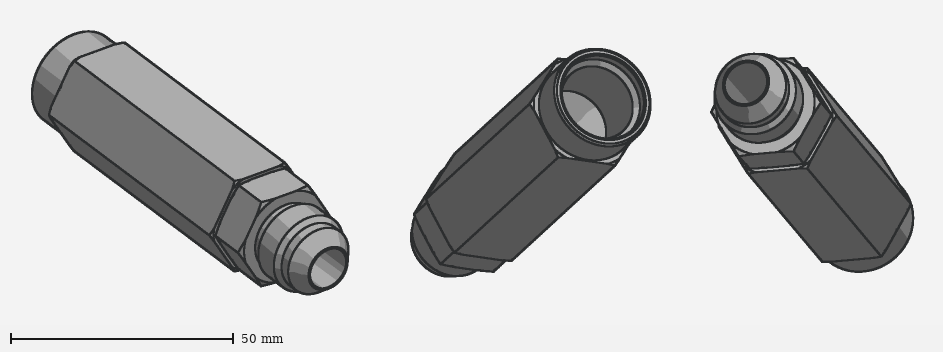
import cadquery as cq
import math

LENGTH = 100.1
X_START = -LENGTH / 2
X_END = LENGTH / 2

HOUSING_FLATS = 23.8
COLLAR_DIAMETER = 23.3
COLLAR_LENGTH = 9.7
COLLAR_CHAMFER = 0.5
HOUSING_LENGTH = 73.7
HOUSING_END_DIAMETER = 25.8
HOUSING_CHAMFER_ANGLE = 30.0

PORT_MOUTH_DIAMETER = 20.6
SEAT_DIAMETER = 19.8
PORT_BORE_DIAMETER = 17.3
SEAT_START_DEPTH = 0.2
SEAT_END_DEPTH = 2.6
BORE_START_DEPTH = 3.8
BORE_DEPTH = 20.0
DRILL_POINT_ANGLE = 118.0

FITTING_FLATS = 22.1
FITTING_HEX_LENGTH = 9.8
FITTING_END_DIAMETER = 22.8
FITTING_CHAMFER_ANGLE = 20.0
FITTING_BORE_DIAMETER = 9.9
NECK_DIAMETER = 16.8
NECK_LENGTH = 2.4
RELIEF_DIAMETER = 18.0
RELIEF_LENGTH = 0.4
THREAD_DIAMETER = 19.0
THREAD_LENGTH = 6.1
PILOT_DIAMETER = 16.5
THREAD_CHAMFER = (THREAD_DIAMETER - PILOT_DIAMETER) / 2
NOSE_TIP_DIAMETER = 10.7
NOSE_HALF_ANGLE = 37.0


def turned(profile):
    """Revolve a closed outline of (x, radius) points about the X axis."""
    return cq.Workplane("XY").polyline(profile).close().revolve(360, (0, 0, 0), (1, 0, 0))


def hexagonal_bar(flats, x_min, x_max, end_diameter, chamfer_angle):
    """Hexagonal bar along X with flats facing +Z and -Z and its corners chamfered at both ends."""
    corners = flats / math.cos(math.radians(30))
    bar = (
        cq.Workplane("YZ", origin=(x_min, 0, 0))
        .polygon(6, corners)
        .extrude(x_max - x_min)
    )
    end_radius = end_diameter / 2
    corner_radius = corners / 2
    chamfer = (corner_radius - end_radius) * math.tan(math.radians(chamfer_angle))
    envelope = turned([
        (x_min, 0),
        (x_min, end_radius),
        (x_min + chamfer, corner_radius),
        (x_max - chamfer, corner_radius),
        (x_max, end_radius),
        (x_max, 0),
    ])
    return bar.intersect(envelope)


def port():
    """Stepped port with a tapered seat and a drill point at its bottom."""
    bore_radius = PORT_BORE_DIAMETER / 2
    point_depth = bore_radius / math.tan(math.radians(DRILL_POINT_ANGLE / 2))
    return turned([
        (X_START, 0),
        (X_START, PORT_MOUTH_DIAMETER / 2),
        (X_START + SEAT_START_DEPTH, SEAT_DIAMETER / 2),
        (X_START + SEAT_END_DEPTH, SEAT_DIAMETER / 2),
        (X_START + BORE_START_DEPTH, bore_radius),
        (X_START + BORE_DEPTH, bore_radius),
        (X_START + BORE_DEPTH + point_depth, 0),
    ])


def make_housing():
    """Hexagonal housing with a round collar and the port."""
    shoulder = X_START + COLLAR_LENGTH
    hexagon = hexagonal_bar(
        HOUSING_FLATS,
        shoulder,
        X_START + HOUSING_LENGTH,
        HOUSING_END_DIAMETER,
        HOUSING_CHAMFER_ANGLE,
    )
    collar_radius = COLLAR_DIAMETER / 2
    collar = turned([
        (X_START, 0),
        (X_START, collar_radius - COLLAR_CHAMFER),
        (X_START + COLLAR_CHAMFER, collar_radius),
        (shoulder, collar_radius),
        (shoulder, 0),
    ])
    return hexagon.union(collar).cut(port())


def make_fitting():
    """Hexagonal end fitting with a plain male thread, a conical nose and a through bore."""
    hex_start = X_START + HOUSING_LENGTH
    hex_end = hex_start + FITTING_HEX_LENGTH
    relief_start = hex_end + NECK_LENGTH
    thread_start = relief_start + RELIEF_LENGTH
    thread_end = thread_start + THREAD_LENGTH
    nose_length = (PILOT_DIAMETER - NOSE_TIP_DIAMETER) / 2 / math.tan(math.radians(NOSE_HALF_ANGLE))
    hexagon = hexagonal_bar(
        FITTING_FLATS,
        hex_start,
        hex_end,
        FITTING_END_DIAMETER,
        FITTING_CHAMFER_ANGLE,
    )
    spigot = turned([
        (hex_end, 0),
        (hex_end, NECK_DIAMETER / 2),
        (relief_start, NECK_DIAMETER / 2),
        (thread_start, RELIEF_DIAMETER / 2),
        (thread_start, THREAD_DIAMETER / 2),
        (thread_end, THREAD_DIAMETER / 2),
        (thread_end + THREAD_CHAMFER, PILOT_DIAMETER / 2),
        (X_END - nose_length, PILOT_DIAMETER / 2),
        (X_END, NOSE_TIP_DIAMETER / 2),
        (X_END, 0),
    ])
    bore_radius = FITTING_BORE_DIAMETER / 2
    bore = turned([
        (hex_start, 0),
        (hex_start, bore_radius),
        (X_END, bore_radius),
        (X_END, 0),
    ])
    return hexagon.union(spigot).cut(bore)


housing = make_housing()
fitting = make_fitting()

result = cq.Compound.makeCompound([housing.val(), fitting.val()])